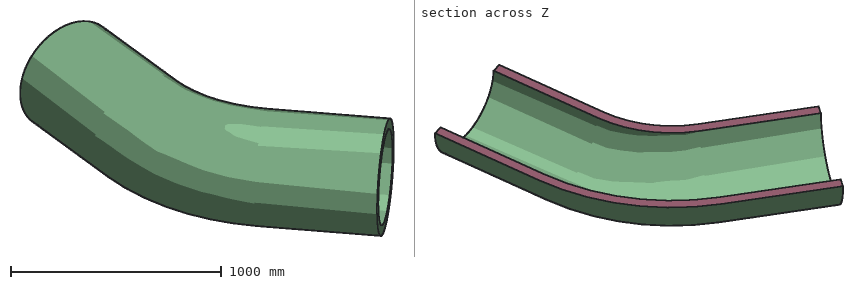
import cadquery as cq
import math

OUTER_DIAMETER = 560.0
BORE_DIAMETER = 458.4
BEND_ANGLE = 45.0
CENTRE_TO_END = 950.0
STRAIGHT_LENGTH = 586.7

bend_radius = (CENTRE_TO_END - STRAIGHT_LENGTH) / math.tan(math.radians(BEND_ANGLE / 2))


def bend_point(angle):
    """Point on the bend axis after turning through angle (degrees)."""
    turn = math.radians(angle)
    return (
        STRAIGHT_LENGTH + bend_radius * math.sin(turn),
        bend_radius * (1 - math.cos(turn)),
    )


def pipe_axis():
    """Axis in the XY plane: straight along +X, bend toward +Y, straight again."""
    bend_end = bend_point(BEND_ANGLE)
    direction = math.radians(BEND_ANGLE)
    far_end = (
        bend_end[0] + STRAIGHT_LENGTH * math.cos(direction),
        bend_end[1] + STRAIGHT_LENGTH * math.sin(direction),
    )
    return (
        cq.Workplane("XY")
        .lineTo(*bend_point(0))
        .threePointArc(bend_point(BEND_ANGLE / 2), bend_end)
        .lineTo(*far_end)
    )


def pipe():
    """Ring section swept along the axis, leaving the bore open at both ends."""
    section = cq.Workplane("YZ").circle(OUTER_DIAMETER / 2).circle(BORE_DIAMETER / 2)
    return section.sweep(pipe_axis())


result = pipe()